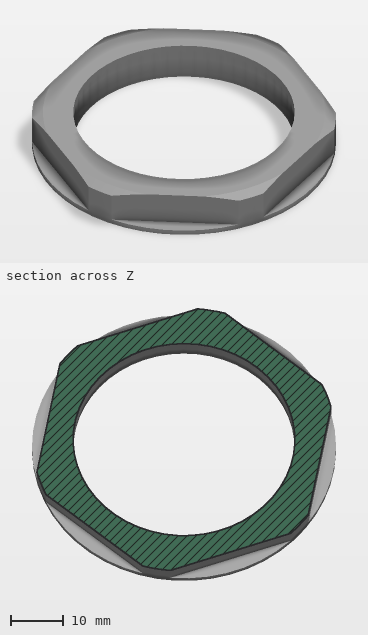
import cadquery as cq
import math

outer_diameter = 57.6
total_height = 7.3
bore_diameter = 41.9
flange_height = 1.0

side_count = 6
across_flats = 52.3
bevel_top_diameter = 53.45
bevel_drop = 0.7

outer_radius = outer_diameter / 2
bevel_top_radius = bevel_top_diameter / 2


def turned_blank():
    """Disc with a shallow conical bevel around its top edge."""
    return (
        cq.Workplane("XZ")
        .moveTo(0, 0)
        .lineTo(outer_radius, 0)
        .lineTo(outer_radius, total_height - bevel_drop)
        .lineTo(bevel_top_radius, total_height)
        .lineTo(0, total_height)
        .close()
        .revolve(360, (0, 0), (0, 1))
    )


def flats_cutter():
    """Waste around a hexagon with two corners on X, above the round flange."""
    across_corners = across_flats / math.cos(math.pi / side_count)
    return (
        cq.Workplane("XY")
        .workplane(offset=flange_height)
        .circle(outer_diameter)
        .polygon(side_count, across_corners)
        .extrude(total_height)
    )


bore = cq.Workplane("XY").circle(bore_diameter / 2).extrude(total_height)
result = turned_blank().cut(flats_cutter()).cut(bore)